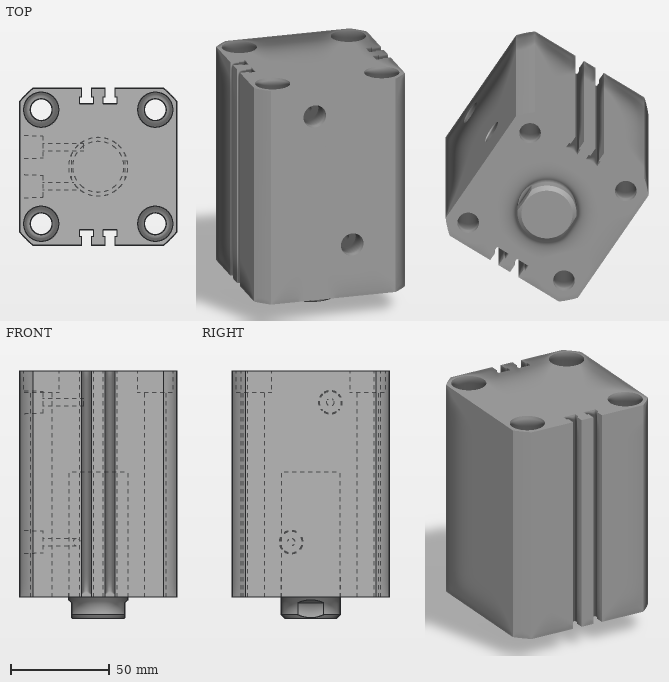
import cadquery as cq

total_length = 126.0
rod_projection = 11.0
housing_length = total_length - rod_projection
housing_width = 80.0
corner_arc_radius = 51.9

mount_spacing = 58.0
mount_hole_diameter = 11.0
counterbore_diameter = 17.9
counterbore_depth = 11.0

slot_spacing = 12.0
slot_neck_width = 5.0
slot_base_width = 6.9
slot_neck_depth = 4.7
slot_depth = 8.0

port_offset = 10.0
lower_port_height = 28.0
upper_port_inset = 16.0
upper_port_height = housing_length - upper_port_inset
port_mouth_diameter = 12.0
port_floor_diameter = 11.1
port_depth = 12.0
passage_diameter = 3.8
passage_end_x = -7.5

rod_diameter = 30.0
rod_end_chamfer = 2.0
rod_top = (lower_port_height + upper_port_height) / 2
flat_spacing = 27.0
flat_ramp_start = 1.4


def housing_block():
    """Square bar with its four long edges rounded about the rod axis."""
    bar = cq.Workplane("XY").rect(housing_width, housing_width).extrude(housing_length)
    envelope = cq.Workplane("XY").circle(corner_arc_radius).extrude(housing_length)
    return bar.intersect(envelope)


def mounting_holes(block):
    """Four through holes, counterbored from the top face."""
    return (
        block.faces(">Z")
        .workplane(origin=(0, 0, housing_length))
        .rect(mount_spacing, mount_spacing, forConstruction=True)
        .vertices()
        .cboreHole(mount_hole_diameter, counterbore_diameter, counterbore_depth)
    )


def t_slot(center_x, side):
    """Full-length T-slot cutter; side is -1 for the -Y side and +1 for the +Y side."""
    base_height = slot_depth - slot_neck_depth
    base_y = side * (housing_width / 2 - slot_depth + base_height / 2)
    neck_y = side * (housing_width / 2 - slot_depth / 2)
    neck = cq.Workplane("XY").center(center_x, neck_y).rect(slot_neck_width, slot_depth)
    base = cq.Workplane("XY").center(center_x, base_y).rect(slot_base_width, base_height)
    return neck.extrude(housing_length).union(base.extrude(housing_length))


def air_port(y, z):
    """Tapered port narrowing inward from the -X face, with a passage from its floor."""
    mouth_plane = cq.Plane(origin=(-housing_width / 2, y, z), xDir=(0, 1, 0), normal=(1, 0, 0))
    taper = (
        cq.Workplane(mouth_plane)
        .circle(port_mouth_diameter / 2)
        .workplane(offset=port_depth)
        .circle(port_floor_diameter / 2)
        .loft()
    )
    passage_length = passage_end_x + housing_width / 2
    passage = cq.Workplane(mouth_plane).circle(passage_diameter / 2).extrude(passage_length)
    return taper.union(passage)


def make_housing():
    housing = mounting_holes(housing_block())
    for side in (-1, 1):
        for center_x in (-slot_spacing / 2, slot_spacing / 2):
            housing = housing.cut(t_slot(center_x, side))
    housing = housing.cut(air_port(-port_offset, lower_port_height))
    housing = housing.cut(air_port(port_offset, upper_port_height))
    rod_bore = cq.Workplane("XY").circle(rod_diameter / 2).extrude(rod_top)
    return housing.cut(rod_bore)


def rod_flat(side):
    """Cutter for one wrench flat with a 45 degree ramp; side is -1 for -X and +1 for +X."""
    rod_radius = rod_diameter / 2
    flat_x = flat_spacing / 2
    ramp_height = rod_radius - flat_x
    outline = [
        (side * rod_radius, -flat_ramp_start),
        (side * flat_x, -flat_ramp_start - ramp_height),
        (side * flat_x, -rod_projection),
        (side * rod_radius, -rod_projection),
    ]
    return cq.Workplane("XZ").polyline(outline).close().extrude(rod_radius, both=True)


def make_rod():
    """Round rod with a chamfered lower end and two opposite wrench flats."""
    rod = (
        cq.Workplane("XY", origin=(0, 0, -rod_projection))
        .circle(rod_diameter / 2)
        .extrude(rod_projection + rod_top)
        .faces("<Z")
        .chamfer(rod_end_chamfer)
    )
    for side in (-1, 1):
        rod = rod.cut(rod_flat(side))
    return rod


housing = make_housing()
rod = make_rod()

result = cq.Compound.makeCompound([housing.val(), rod.val()])